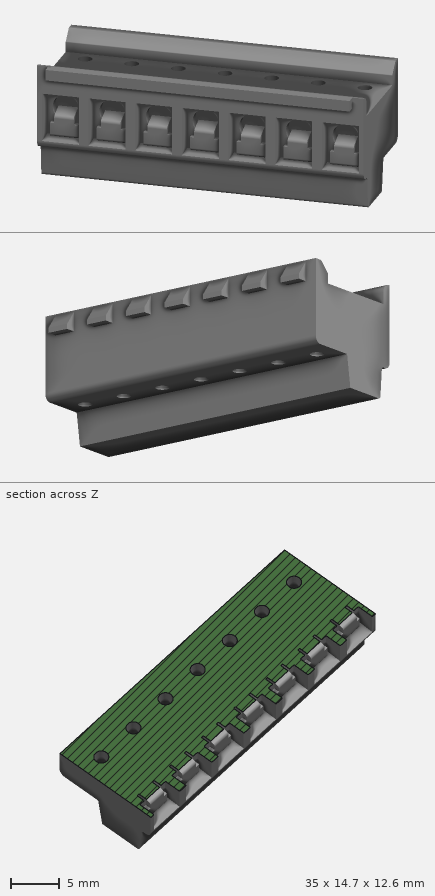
import math

import cadquery as cq


POLE_COUNT = 7
PITCH = 5.0
LENGTH = POLE_COUNT * PITCH
POLE_CENTRES = [PITCH * (pole + 0.5) for pole in range(POLE_COUNT)]

DEPTH = 12.5
HEIGHT = 12.55
SHOULDER_Z = 3.5
DECK_Z = 10.3
BOTTOM_EDGE_RADIUS = 0.75

LIP_THICKNESS = 1.05
LIP_RADIUS = 0.95

RIDGE_THICKNESS = 2.05
RIDGE_CHAMFER = 1.15
RIDGE_EDGE_RADIUS = 0.12

LEG_FRONT_Y = 1.3
LEG_BACK_Y = 7.2
LEG_BOTTOM_BACK_Y = 6.65
LEG_FRONT_DRAFT = 4.5
LEG_ROOT_RADIUS = 0.35
LEG_TOE_RADIUS = 0.3

RAIL_PROJECTION = 1.05
RAIL_HEIGHT = 1.15
RAIL_END_GAP = 1.2

TAB_PROJECTION = 1.15
TAB_WIDTH = 2.4
TAB_TIP_Z = 10.85
TAB_TOP_Z = 12.4

PIN_HOLE_DIAMETER = 1.5
PIN_HOLE_Y = 9.0

POCKET_WIDTH = 3.95
POCKET_TOP_Z = 9.5
POCKET_SILL_Z = 4.3
POCKET_DEPTH = 1.95
POCKET_FLOOR_SLOPE = 4.0
POCKET_FLOOR_RISE = POCKET_DEPTH * math.tan(math.radians(POCKET_FLOOR_SLOPE))

CLAMP_FRONT_Y = 1.3
CLAMP_NECK_WIDTH = 2.1
CLAMP_BASE_WIDTH = 3.0
CLAMP_SHOULDER_Z = 5.9
CLAMP_TOP_Z = 7.27
CLAMP_NOSE_Z = 6.43
CLAMP_NOSE_RADIUS = 0.38
CLAMP_TOP_SLOPE = 19.5
CLAMP_TOE_RADIUS = 0.25

WIRE_HOLE_DIAMETER = 2.8
WIRE_HOLE_Z = 7.45


def extrude_along_x(profile, start, length):
    """Extrude a closed YZ profile from X = start."""
    return profile.extrude(length).translate((start, 0, 0))


def make_housing():
    leg_bottom_front_y = LEG_FRONT_Y + SHOULDER_Z * math.tan(math.radians(LEG_FRONT_DRAFT))
    ridge_front_y = DEPTH - RIDGE_THICKNESS
    profile = cq.Workplane("YZ").polyline(
        [
            (0, SHOULDER_Z),
            (LEG_FRONT_Y, SHOULDER_Z),
            (leg_bottom_front_y, 0),
            (LEG_BOTTOM_BACK_Y, 0),
            (LEG_BACK_Y, SHOULDER_Z),
            (DEPTH, SHOULDER_Z),
            (DEPTH, HEIGHT),
            (ridge_front_y + RIDGE_CHAMFER, HEIGHT),
            (ridge_front_y, HEIGHT - RIDGE_CHAMFER),
            (ridge_front_y, DECK_Z),
            (LIP_THICKNESS, DECK_Z),
            (LIP_THICKNESS, HEIGHT),
            (0, HEIGHT),
        ]
    ).close()
    housing = extrude_along_x(profile, 0, LENGTH)
    rounded_edges = [
        ((0, SHOULDER_Z), BOTTOM_EDGE_RADIUS),
        ((DEPTH, SHOULDER_Z), BOTTOM_EDGE_RADIUS),
        ((LEG_FRONT_Y, SHOULDER_Z), LEG_ROOT_RADIUS),
        ((leg_bottom_front_y, 0), LEG_TOE_RADIUS),
        ((LIP_THICKNESS, HEIGHT), LIP_RADIUS),
        ((ridge_front_y + RIDGE_CHAMFER, HEIGHT), RIDGE_EDGE_RADIUS),
        ((ridge_front_y, HEIGHT - RIDGE_CHAMFER), RIDGE_EDGE_RADIUS),
    ]
    for (y, z), radius in rounded_edges:
        edge_point = (LENGTH / 2, y, z)
        housing = housing.edges(cq.selectors.NearestToPointSelector(edge_point)).fillet(radius)
    return housing


def make_rail():
    bottom_z = HEIGHT - RAIL_HEIGHT
    profile = cq.Workplane("YZ").polyline(
        [
            (-RAIL_PROJECTION, bottom_z),
            (0, bottom_z),
            (0, HEIGHT),
            (-RAIL_PROJECTION, HEIGHT),
        ]
    ).close()
    return extrude_along_x(profile, RAIL_END_GAP, LENGTH - 2 * RAIL_END_GAP)


def make_tab(centre_x):
    profile = cq.Workplane("YZ").polyline(
        [
            (DEPTH, DECK_Z),
            (DEPTH + TAB_PROJECTION, DECK_Z),
            (DEPTH + TAB_PROJECTION, TAB_TIP_Z),
            (DEPTH, TAB_TOP_Z),
        ]
    ).close()
    return extrude_along_x(profile, centre_x - TAB_WIDTH / 2, TAB_WIDTH)


def make_pin_hole(centre_x):
    radius = PIN_HOLE_DIAMETER / 2
    return cq.Workplane("XY").center(centre_x, PIN_HOLE_Y).circle(radius).extrude(HEIGHT)


def make_pocket(centre_x):
    """Pocket whose floor rises towards its back wall."""
    profile = cq.Workplane("YZ").polyline(
        [
            (0, POCKET_SILL_Z),
            (POCKET_DEPTH, POCKET_SILL_Z + POCKET_FLOOR_RISE),
            (POCKET_DEPTH, POCKET_TOP_Z),
            (0, POCKET_TOP_Z),
        ]
    ).close()
    return extrude_along_x(profile, centre_x - POCKET_WIDTH / 2, POCKET_WIDTH)


def clamp_back_y():
    """Y where the sloping clamp top, tangent to the nose, reaches the clamp height."""
    slope = math.radians(CLAMP_TOP_SLOPE)
    nose_end_y = CLAMP_FRONT_Y + CLAMP_NOSE_RADIUS * (1 - math.sin(slope))
    nose_end_z = CLAMP_NOSE_Z + CLAMP_NOSE_RADIUS * math.cos(slope)
    return nose_end_y + (CLAMP_TOP_Z - nose_end_z) / math.tan(slope)


def make_wire_hole(centre_x):
    """Blind round hole ending where the clamp top ends."""
    hole_plane = cq.Workplane("XZ", origin=(centre_x, 0, WIRE_HOLE_Z))
    return hole_plane.circle(WIRE_HOLE_DIAMETER / 2).extrude(-clamp_back_y())


def make_clamp(centre_x):
    """T-shaped clamp with a rounded nose and a top sloping up into the wire hole."""
    slope = math.radians(CLAMP_TOP_SLOPE)
    half_nose_angle = (math.pi / 2 - slope) / 2
    nose_centre_y = CLAMP_FRONT_Y + CLAMP_NOSE_RADIUS

    def nose_point(angle):
        return (
            nose_centre_y - CLAMP_NOSE_RADIUS * math.cos(angle),
            CLAMP_NOSE_Z + CLAMP_NOSE_RADIUS * math.sin(angle),
        )

    back_y = clamp_back_y()
    bottom_z = POCKET_SILL_Z + POCKET_FLOOR_RISE
    side = (
        cq.Workplane("YZ")
        .moveTo(CLAMP_FRONT_Y, bottom_z)
        .lineTo(CLAMP_FRONT_Y, CLAMP_NOSE_Z)
        .threePointArc(nose_point(half_nose_angle), nose_point(2 * half_nose_angle))
        .lineTo(back_y, CLAMP_TOP_Z)
        .lineTo(back_y, bottom_z)
        .close()
    )
    clamp = extrude_along_x(side, centre_x - CLAMP_BASE_WIDTH / 2, CLAMP_BASE_WIDTH)
    toe = cq.selectors.NearestToPointSelector((centre_x, CLAMP_FRONT_Y, bottom_z))
    clamp = clamp.edges(toe).fillet(CLAMP_TOE_RADIUS)
    shoulder_cut_width = (CLAMP_BASE_WIDTH - CLAMP_NECK_WIDTH) / 2
    shoulder_offset = (CLAMP_NECK_WIDTH + shoulder_cut_width) / 2
    for side_sign in (-1, 1):
        shoulder_cut = cq.Workplane("XY").box(
            shoulder_cut_width, back_y, CLAMP_TOP_Z - CLAMP_SHOULDER_Z, centered=(True, False, False)
        )
        shoulder_x = centre_x + side_sign * shoulder_offset
        clamp = clamp.cut(shoulder_cut.translate((shoulder_x, 0, CLAMP_SHOULDER_Z)))
    return clamp


result = make_housing().union(make_rail())
for pole_x in POLE_CENTRES:
    result = result.union(make_tab(pole_x))
    result = result.cut(make_pin_hole(pole_x))
    result = result.cut(make_pocket(pole_x))
    result = result.cut(make_wire_hole(pole_x))
    result = result.union(make_clamp(pole_x))